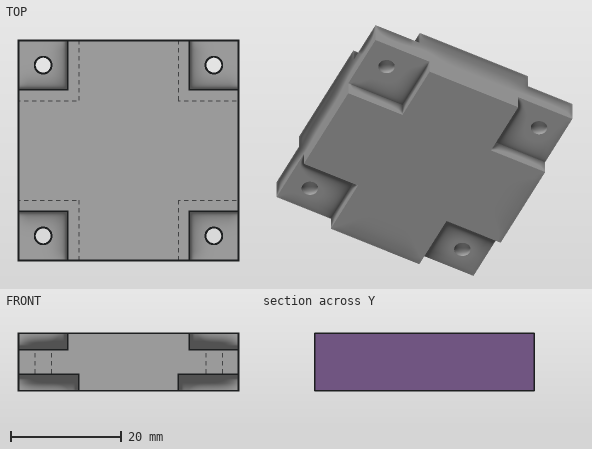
import cadquery as cq

side = 40.0
height = 10.5

top_step_side = 9.0
top_step_depth = 3.0
bottom_step_side = 11.0
bottom_step_depth = 3.0

hole_diameter = 3.0
hole_inset = top_step_side / 2
hole_pitch = side - 2 * hole_inset


def corner_steps(step_side, step_depth, base_z):
    """Square blocks filling the four corners, rising from base_z."""
    pitch = side - step_side
    return (
        cq.Workplane("XY", origin=(0, 0, base_z))
        .rarray(pitch, pitch, 2, 2)
        .rect(step_side, step_side)
        .extrude(step_depth)
    )


def mounting_holes():
    """Four cylinders running the full height of the block."""
    return (
        cq.Workplane("XY")
        .rarray(hole_pitch, hole_pitch, 2, 2)
        .circle(hole_diameter / 2)
        .extrude(height)
    )


block = cq.Workplane("XY").box(side, side, height, centered=(True, True, False))
top_steps = corner_steps(top_step_side, top_step_depth, height - top_step_depth)
bottom_steps = corner_steps(bottom_step_side, bottom_step_depth, 0)

result = block.cut(top_steps).cut(bottom_steps).cut(mounting_holes())